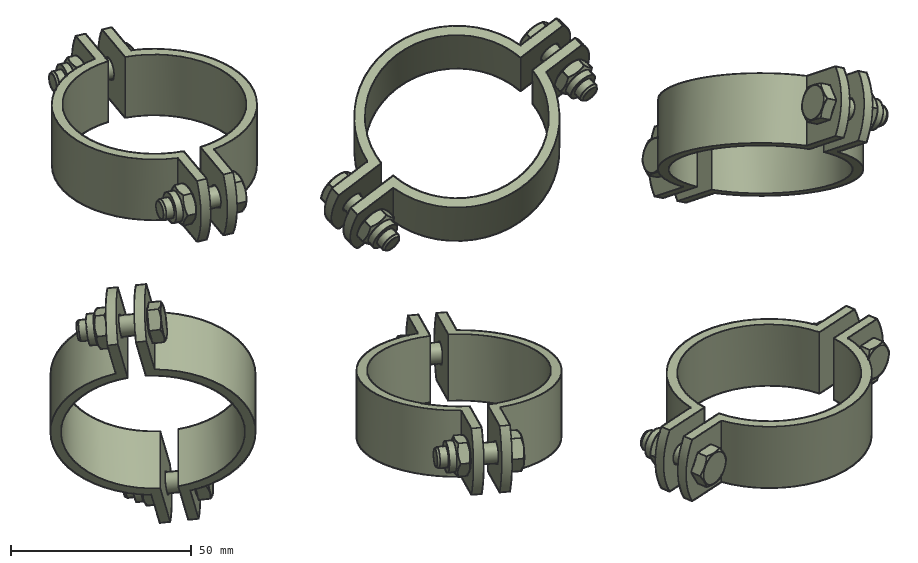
import cadquery as cq
import math

LENGTH = 87.0
BAND_WIDTH = 20.0
RING_DIAMETER = 56.8
THICKNESS = 3.0
GAP = 5.05
EAR_TIP_RADIUS = 20.0
HOLE_DIAMETER = 6.5

BOLT_SPACING = 71.95
SHANK_DIAMETER = 6.0
SHANK_TIP_DIAMETER = 5.1
SHANK_TIP_CHAMFER = 0.7
SHANK_OVERHANG = 9.1
HEX_FLATS = 10.0
HEX_CHAMFER_ANGLE = 30.0
HEAD_FACE_DIAMETER = 9.75
HEAD_HEIGHT = 4.1
WASHER_FACE_HEIGHT = 0.35
WASHER_FACE_DIAMETER = 8.7
NUT_HEX_HEIGHT = 4.0
NUT_HEIGHT = 6.1
COLLAR_DIAMETER = 8.9

outer_radius = RING_DIAMETER / 2
inner_radius = outer_radius - THICKNESS
ear_inner_y = GAP / 2
ear_outer_y = ear_inner_y + THICKNESS
hex_corner_diameter = HEX_FLATS / math.cos(math.radians(30))
bolt_positions = (-BOLT_SPACING / 2, BOLT_SPACING / 2)


def cylinder_y(diameter, start_y, end_y):
    """Cylinder on the Y axis from start_y up to end_y."""
    return (
        cq.Workplane("XZ", origin=(0, end_y, 0))
        .circle(diameter / 2)
        .extrude(end_y - start_y)
    )


def hex_prism(start_y, end_y, face_diameter, chamfer_ends):
    """Hexagon on the Y axis with conically chamfered corners, leaving round end faces."""
    prism = (
        cq.Workplane("XZ", origin=(0, end_y, 0))
        .polygon(6, hex_corner_diameter)
        .extrude(end_y - start_y)
    )
    corner_radius = hex_corner_diameter / 2
    face_radius = face_diameter / 2
    drop = (corner_radius - face_radius) * math.tan(math.radians(HEX_CHAMFER_ANGLE))
    envelope = cylinder_y(hex_corner_diameter, start_y, end_y)
    envelope = envelope.faces(chamfer_ends).chamfer(drop, corner_radius - face_radius)
    return prism.intersect(envelope)


def make_clamp_half():
    """Half ring with two bolt ears, on the +Y side."""
    ring = cq.Workplane("XY").circle(outer_radius).extrude(BAND_WIDTH / 2, both=True)
    ears = cq.Workplane("XY").box(LENGTH, 2 * ear_outer_y, BAND_WIDTH)
    for side in (-1, 1):
        tip_center = side * (LENGTH / 2 - EAR_TIP_RADIUS)
        rounded_end = cylinder_y(2 * EAR_TIP_RADIUS, -ear_outer_y, ear_outer_y)
        inboard = cq.Workplane("XY").box(LENGTH, 2 * ear_outer_y, BAND_WIDTH)
        tip_envelope = rounded_end.translate((tip_center, 0, 0)).union(
            inboard.translate((tip_center - side * LENGTH / 2, 0, 0))
        )
        ears = ears.intersect(tip_envelope)
    bore = cq.Workplane("XY").circle(inner_radius).extrude(BAND_WIDTH / 2, both=True)
    lower_side = cq.Workplane("XY").box(LENGTH, LENGTH, BAND_WIDTH).translate(
        (0, ear_inner_y - LENGTH / 2, 0)
    )
    half = ring.union(ears).cut(bore).cut(lower_side)
    for x in bolt_positions:
        hole = cylinder_y(HOLE_DIAMETER, ear_inner_y, ear_outer_y)
        half = half.cut(hole.translate((x, 0, 0)))
    return half


def make_bolt():
    """Hex bolt on the Y axis, head on the +Y ear and tip toward -Y."""
    hex_start = ear_outer_y + WASHER_FACE_HEIGHT
    shank = cylinder_y(SHANK_DIAMETER, -ear_outer_y - SHANK_OVERHANG, hex_start)
    tip_inset = (SHANK_DIAMETER - SHANK_TIP_DIAMETER) / 2
    shank = shank.faces("<Y").chamfer(SHANK_TIP_CHAMFER, tip_inset)
    washer_face = cylinder_y(WASHER_FACE_DIAMETER, ear_outer_y, hex_start)
    head = hex_prism(hex_start, ear_outer_y + HEAD_HEIGHT, HEAD_FACE_DIAMETER, ">Y")
    return head.union(washer_face).union(shank)


def make_nut():
    """Collared hex nut on the Y axis, seated on the -Y ear."""
    collar_end = -ear_outer_y - NUT_HEIGHT
    nut = hex_prism(-ear_outer_y - NUT_HEX_HEIGHT, -ear_outer_y, COLLAR_DIAMETER, "|Y")
    nut = nut.union(cylinder_y(COLLAR_DIAMETER, collar_end, -ear_outer_y))
    return nut.cut(cylinder_y(SHANK_DIAMETER, collar_end, -ear_outer_y))


upper_half = make_clamp_half()
lower_half = upper_half.mirror("XZ")
bodies = [upper_half.val(), lower_half.val()]
for bolt_x in bolt_positions:
    bodies.append(make_bolt().translate((bolt_x, 0, 0)).val())
    bodies.append(make_nut().translate((bolt_x, 0, 0)).val())

result = cq.Compound.makeCompound(bodies)